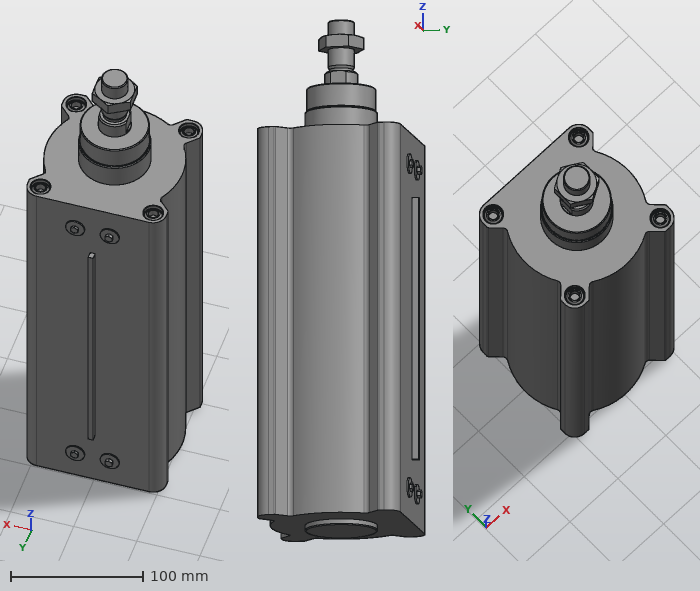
import math

import cadquery as cq

TOTAL_HEIGHT = 391.5
BODY_BOTTOM = 4.5
BODY_TOP = 302.5
BODY_HEIGHT = BODY_TOP - BODY_BOTTOM
BODY_MIDDLE = (BODY_BOTTOM + BODY_TOP) / 2
COLLAR_BOTTOM = 322.0
COLLAR_TOP = 340.0
FLATS_BOTTOM = 341.5
ROD_SHOULDER = 352.5
NECK_TOP = 354.7
NUT_BOTTOM = 370.0
NUT_TOP = 379.5

Z_AXIS = ((0, 0, 0), (0, 0, 1))

BODY_WIDTH = 110.0
HALF_WIDTH = BODY_WIDTH / 2
BARREL_DIAMETER = 107.3
BOLT_OFFSET = 44.5
LUG_WIDTH = 21.5
LUG_CORNER_RADIUS = HALF_WIDTH - BOLT_OFFSET
LUG_EDGE_RADIUS = 1.5
LUG_ROOT_RADIUS = 3.5
TOP_FLAT_DEPTH = 15.5
EDGE_TOLERANCE = 0.05

RECESS_DIAMETER = 15.0
RECESS_DEPTH = 3.0
BOLT_HEAD_DIAMETER = 13.5
BOLT_HEAD_DROP = 0.8
BOLT_HEAD_CHAMFER = 1.5
MOUTH_CHAMFER = 0.5
BOLT_SOCKET_DIAMETER = 7.5
BOLT_SOCKET_DEPTH = 6.0

BOSS_DIAMETER = 55.0
COLLAR_DIAMETER = 52.5
EDGE_CHAMFER = 0.8

RAIL_WIDTH = 4.0
RAIL_LENGTH = 201.2
RAIL_HEIGHT = 5.0
PLUG_X = 13.7
PLUG_FLANGE_DIAMETER = 15.0
PLUG_FLANGE_HEIGHT = 1.0
PLUG_STEM_ACROSS_FLATS = 5.5
PLUG_STEM_HEIGHTS = {-PLUG_X: 4.0, PLUG_X: 3.0}
PLUG_SPACING = 249.0

ROD_DIAMETER = 25.0
ROD_FLATS_WIDTH = 22.0
ROD_CHAMFER = 1.0
NECK_DIAMETER = 18.0
THREAD_DIAMETER = 20.0
THREAD_CHAMFER = 0.8
THREAD_RUNOUT = 2.0
NUT_ACROSS_FLATS = 30.0
NUT_CORNER_DIAMETER = NUT_ACROSS_FLATS / math.cos(math.pi / 6)
NUT_CHAMFER_WIDTH = (NUT_CORNER_DIAMETER - NUT_ACROSS_FLATS) / 2
NUT_CHAMFER_HEIGHT = 0.8


def cylinder(diameter, bottom, top):
    return cq.Workplane("XY").workplane(offset=bottom).circle(diameter / 2).extrude(top - bottom)


def profile_base():
    return cq.Workplane("XY").workplane(offset=BODY_BOTTOM)


def make_lugs():
    """Two crossed diagonal bars, trimmed to a square with round corners that hold the bolts."""
    bar = profile_base().rect(2 * BODY_WIDTH, LUG_WIDTH).extrude(BODY_HEIGHT)
    square = profile_base().rect(BODY_WIDTH, BODY_WIDTH).extrude(BODY_HEIGHT)
    square = square.edges("|Z").fillet(LUG_CORNER_RADIUS)
    cross = bar.rotate(*Z_AXIS, 45).union(bar.rotate(*Z_AXIS, -45)).intersect(square)

    def is_side_corner(edge):
        near, far = sorted((abs(edge.Center().x), abs(edge.Center().y)))
        return far > BOLT_OFFSET and near < BOLT_OFFSET - LUG_EDGE_RADIUS

    side_corners = [edge for edge in cross.edges("|Z").vals() if is_side_corner(edge)]
    return cross.newObject(side_corners).fillet(LUG_EDGE_RADIUS)


def make_profile_block():
    """Round barrel with four diagonal bolt lugs and a flat +Y side."""
    top_flat = profile_base().center(0, HALF_WIDTH - TOP_FLAT_DEPTH / 2)
    top_flat = top_flat.rect(2 * BOLT_OFFSET, TOP_FLAT_DEPTH).extrude(BODY_HEIGHT)
    return cylinder(BARREL_DIAMETER, BODY_BOTTOM, BODY_TOP).union(make_lugs()).union(top_flat)


def soften_lugs(block):
    """Round the lug roots, where the lug sides run into the barrel."""
    barrel_radius = BARREL_DIAMETER / 2

    def is_root(edge):
        center = edge.Center()
        return abs(math.hypot(center.x, center.y) - barrel_radius) < EDGE_TOLERANCE

    roots = [edge for edge in block.edges("|Z").vals() if is_root(edge)]
    return block.newObject(roots).fillet(LUG_ROOT_RADIUS)


def flared_cylinder(diameter, bottom, top):
    """Cylinder that widens at its top by a small mouth chamfer."""
    radius = diameter / 2
    mouth_base = cq.Vector(0, 0, top - MOUTH_CHAMFER)
    mouth = cq.Solid.makeCone(radius, radius + MOUTH_CHAMFER, MOUTH_CHAMFER, mouth_base)
    return cylinder(diameter, bottom, top).union(cq.Workplane(mouth))


def make_bolt_recess():
    """Cutter for one recess, which leaves a socket bolt head standing in it."""
    floor = BODY_TOP - RECESS_DEPTH
    head_top = BODY_TOP - BOLT_HEAD_DROP
    recess = flared_cylinder(RECESS_DIAMETER, floor, BODY_TOP)
    head = cylinder(BOLT_HEAD_DIAMETER, floor, head_top).faces(">Z").chamfer(BOLT_HEAD_CHAMFER)
    socket = flared_cylinder(BOLT_SOCKET_DIAMETER, head_top - BOLT_SOCKET_DEPTH, head_top)
    return recess.cut(head).union(socket)


def make_plug(x, z, stem_height):
    """Round flange with a hexagonal stem, standing on the +Y side."""
    face = cq.Workplane("XZ", origin=(x, HALF_WIDTH, z))
    flange = face.circle(PLUG_FLANGE_DIAMETER / 2).extrude(-PLUG_FLANGE_HEIGHT)
    stem = face.polygon(6, PLUG_STEM_ACROSS_FLATS, circumscribed=True).extrude(-stem_height)
    return flange.union(stem)


def make_housing():
    housing = soften_lugs(make_profile_block())

    boss = cylinder(BOSS_DIAMETER, BODY_TOP, COLLAR_BOTTOM).faces(">Z").chamfer(EDGE_CHAMFER)
    collar = cylinder(COLLAR_DIAMETER, COLLAR_BOTTOM, COLLAR_TOP).faces("<Z or >Z").chamfer(EDGE_CHAMFER)
    spigot = cylinder(BOSS_DIAMETER, 0, BODY_BOTTOM).faces("<Z").chamfer(EDGE_CHAMFER)
    housing = housing.union(boss).union(collar).union(spigot)

    recess = make_bolt_recess()
    for x in (-BOLT_OFFSET, BOLT_OFFSET):
        for y in (-BOLT_OFFSET, BOLT_OFFSET):
            housing = housing.cut(recess.translate((x, y, 0)))

    rail = cq.Workplane("XZ", origin=(0, HALF_WIDTH, BODY_MIDDLE)).rect(RAIL_WIDTH, RAIL_LENGTH)
    housing = housing.union(rail.extrude(-RAIL_HEIGHT))
    for x, stem_height in PLUG_STEM_HEIGHTS.items():
        for z in (BODY_MIDDLE - PLUG_SPACING / 2, BODY_MIDDLE + PLUG_SPACING / 2):
            housing = housing.union(make_plug(x, z, stem_height))
    return housing


def make_rod():
    """Piston rod end with wrench flats, an undercut and a thread, standing on the collar."""
    rod = cylinder(ROD_DIAMETER, COLLAR_TOP, ROD_SHOULDER).faces(">Z").chamfer(ROD_CHAMFER)
    flats = cq.Workplane("XY").workplane(offset=FLATS_BOTTOM).rect(ROD_FLATS_WIDTH, ROD_DIAMETER)
    flats = flats.extrude(ROD_SHOULDER - FLATS_BOTTOM)
    rod = rod.intersect(flats.union(cylinder(ROD_DIAMETER, COLLAR_TOP, FLATS_BOTTOM)))
    neck = cylinder(NECK_DIAMETER, ROD_SHOULDER, NECK_TOP)
    thread = cylinder(THREAD_DIAMETER, NECK_TOP, TOTAL_HEIGHT).faces(">Z").chamfer(THREAD_CHAMFER)
    runout_depth = (THREAD_DIAMETER - NECK_DIAMETER) / 2
    thread = thread.faces("<Z").chamfer(THREAD_RUNOUT, runout_depth)
    return rod.union(neck).union(thread)


def make_nut():
    """Hexagonal lock nut with two flats facing +X and -X."""
    nut = cq.Workplane("XY").workplane(offset=NUT_BOTTOM)
    nut = nut.polygon(6, NUT_ACROSS_FLATS, circumscribed=True).extrude(NUT_TOP - NUT_BOTTOM)
    round_blank = cylinder(NUT_CORNER_DIAMETER, NUT_BOTTOM, NUT_TOP).faces(">Z")
    nut = nut.intersect(round_blank.chamfer(NUT_CHAMFER_HEIGHT, NUT_CHAMFER_WIDTH))
    return nut.cut(cylinder(THREAD_DIAMETER, NUT_BOTTOM, NUT_TOP))


housing = make_housing()
rod = make_rod()
nut = make_nut()

result = cq.Compound.makeCompound([housing.val(), rod.val(), nut.val()])